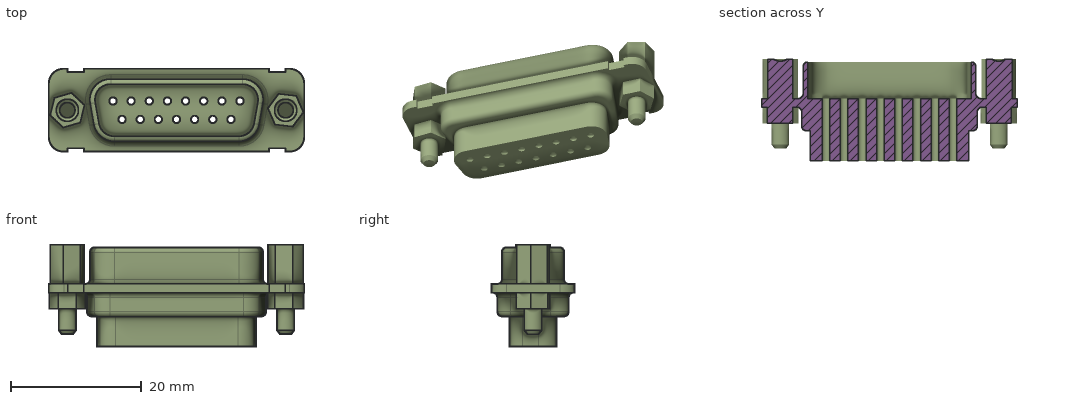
import cadquery as cq
import math

FLANGE_LENGTH = 39.12
FLANGE_WIDTH = 12.7
FLANGE_THICKNESS = 1.35
FLANGE_CORNER_RADIUS = 2.25
NOTCH_LENGTH = 2.45
NOTCH_DEPTH = 0.5
NOTCH_CENTER_X = 15.4

SIDE_LEAN = math.radians(10)
PLUG_CENTER_X = 10.1
PLUG_CENTER_Y = 1.6
PLUG_CORNER_RADIUS = 3.15
PLUG_HEIGHT = 5.6
PLUG_WALL = 0.8
PLUG_RIM_FILLET = 0.75

COVER_CENTER_X = 11.3
COVER_CENTER_Y = 3.05
COVER_CORNER_RADIUS = 2.43
COVER_DEPTH = 3.65
COVER_RIM_FILLET = 0.8

INSULATOR_CENTER_X = 9.8
INSULATOR_CENTER_Y = 1.2
INSULATOR_CORNER_RADIUS = 2.4
INSULATOR_DEPTH = 8.25

FOOT_FILLET = 0.7

CONTACT_DIAMETER = 1.1
CONTACT_PITCH = 2.78
CONTACT_ROW_SPACING = 2.8
WIDE_ROW_COUNT = 8

SCREW_X = 16.7
STANDOFF_ACROSS_FLATS = 4.75
NUT_ACROSS_FLATS = 4.8
STANDOFF_HEIGHT = 6.0
NUT_HEIGHT = 2.45
SHANK_DIAMETER = 2.7
SHANK_BOTTOM_Z = -6.35
SHANK_TIP_LENGTH = 0.63
SHANK_TIP_INSET = 0.45
THREAD_HOLE_DIAMETER = 2.35
COUNTERSINK_DIAMETER = 3.4
LEFT_STANDOFF_TURN = 16.4
LEFT_NUT_TURN = -1.0
RIGHT_SCREW_TURN = -6.6


def d_body(center_x, center_y, radius, z_from, z_to):
    """Solid with a D-shaped section between two heights."""
    narrow_x = center_x - 2 * center_y * math.tan(SIDE_LEAN)
    corner_centers = [
        (center_x, center_y),
        (-center_x, center_y),
        (-narrow_x, -center_y),
        (narrow_x, -center_y),
    ]
    return (
        cq.Workplane("XY")
        .workplane(offset=z_from)
        .polyline(corner_centers)
        .close()
        .offset2D(radius, "arc")
        .extrude(z_to - z_from)
    )


def foot_edges(center_x, center_y, radius, z):
    """Selector for the edges of a D-shaped outline lying at height z."""
    margin = 0.05
    reach_x = center_x + radius + margin
    reach_y = center_y + radius + margin
    return cq.selectors.BoxSelector(
        (-reach_x, -reach_y, z - margin), (reach_x, reach_y, z + margin), boundingbox=True
    )


def shell():
    """Flange with the plug above it and the cover below it, blended together."""
    plug = (PLUG_CENTER_X, PLUG_CENTER_Y, PLUG_CORNER_RADIUS)
    cover = (COVER_CENTER_X, COVER_CENTER_Y, COVER_CORNER_RADIUS)
    plug_top = FLANGE_THICKNESS + PLUG_HEIGHT
    flange = (
        cq.Workplane("XY")
        .rect(FLANGE_LENGTH, FLANGE_WIDTH)
        .extrude(FLANGE_THICKNESS)
        .edges("|Z")
        .fillet(FLANGE_CORNER_RADIUS)
    )
    body = flange.union(d_body(*plug, FLANGE_THICKNESS, plug_top))
    body = body.union(d_body(*cover, -COVER_DEPTH, 0))
    body = body.edges(foot_edges(*plug, FLANGE_THICKNESS)).fillet(FOOT_FILLET)
    body = body.edges(foot_edges(*cover, 0)).fillet(FOOT_FILLET)
    body = body.faces(">Z").edges().fillet(PLUG_RIM_FILLET)
    return body.faces("<Z").edges().fillet(COVER_RIM_FILLET)


def flange_notches():
    """Shallow notches in both long edges of the flange."""
    return (
        cq.Workplane("XY")
        .rect(2 * NOTCH_CENTER_X, FLANGE_WIDTH, forConstruction=True)
        .vertices()
        .rect(NOTCH_LENGTH, 2 * NOTCH_DEPTH)
        .extrude(FLANGE_THICKNESS)
    )


def plug_cavity():
    """Open space inside the plug, with its floor level with the flange top."""
    return d_body(
        PLUG_CENTER_X,
        PLUG_CENTER_Y,
        PLUG_CORNER_RADIUS - PLUG_WALL,
        FLANGE_THICKNESS,
        FLANGE_THICKNESS + PLUG_HEIGHT,
    )


def contact_holes():
    """Two rows of holes running from the cavity floor out through the insulator."""
    rows = [
        (WIDE_ROW_COUNT, CONTACT_ROW_SPACING / 2),
        (WIDE_ROW_COUNT - 1, -CONTACT_ROW_SPACING / 2),
    ]
    points = []
    for count, y in rows:
        for index in range(count):
            points.append(((index - (count - 1) / 2) * CONTACT_PITCH, y))
    return (
        cq.Workplane("XY")
        .workplane(offset=-INSULATOR_DEPTH)
        .pushPoints(points)
        .circle(CONTACT_DIAMETER / 2)
        .extrude(INSULATOR_DEPTH + FLANGE_THICKNESS + PLUG_HEIGHT)
    )


def hexagon(x, across_flats, turn, z_from, height):
    """Hexagonal prism on a screw axis."""
    corner_diameter = across_flats / math.cos(math.pi / 6)
    return (
        cq.Workplane("XY")
        .polygon(6, corner_diameter)
        .extrude(height)
        .rotate((0, 0, 0), (0, 0, 1), turn)
        .translate((x, 0, z_from))
    )


def jack_screw(x, standoff_turn, nut_turn):
    """Standoff above the flange, nut and pointed shank below it."""
    standoff = hexagon(x, STANDOFF_ACROSS_FLATS, standoff_turn, FLANGE_THICKNESS, STANDOFF_HEIGHT)
    nut = hexagon(x, NUT_ACROSS_FLATS, nut_turn, -NUT_HEIGHT, NUT_HEIGHT)
    shank = (
        cq.Workplane("XY")
        .workplane(offset=SHANK_BOTTOM_Z)
        .center(x, 0)
        .circle(SHANK_DIAMETER / 2)
        .extrude(-SHANK_BOTTOM_Z)
        .faces("<Z")
        .chamfer(SHANK_TIP_LENGTH, SHANK_TIP_INSET)
    )
    return standoff.union(nut).union(shank)


def thread_hole(x):
    """Countersunk blind hole through the full height of a standoff."""
    countersink_depth = (COUNTERSINK_DIAMETER - THREAD_HOLE_DIAMETER) / 2
    hole = (
        cq.Workplane("XY")
        .circle(THREAD_HOLE_DIAMETER / 2)
        .extrude(STANDOFF_HEIGHT)
    )
    countersink = (
        cq.Workplane("XY")
        .workplane(offset=STANDOFF_HEIGHT - countersink_depth)
        .circle(THREAD_HOLE_DIAMETER / 2)
        .workplane(offset=countersink_depth)
        .circle(COUNTERSINK_DIAMETER / 2)
        .loft()
    )
    return hole.union(countersink).translate((x, 0, FLANGE_THICKNESS))


insulator = d_body(
    INSULATOR_CENTER_X, INSULATOR_CENTER_Y, INSULATOR_CORNER_RADIUS, -INSULATOR_DEPTH, 0
)

result = shell().cut(flange_notches()).union(insulator)
result = result.union(jack_screw(-SCREW_X, LEFT_STANDOFF_TURN, LEFT_NUT_TURN))
result = result.union(jack_screw(SCREW_X, RIGHT_SCREW_TURN, RIGHT_SCREW_TURN))
result = result.cut(plug_cavity()).cut(contact_holes())
for screw_x in (-SCREW_X, SCREW_X):
    result = result.cut(thread_hole(screw_x))